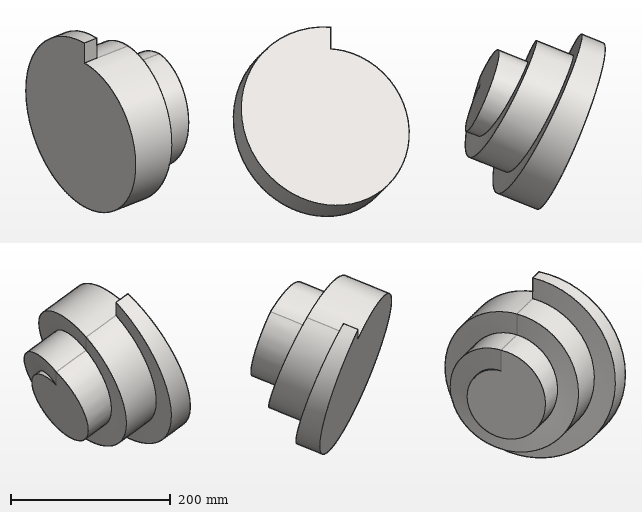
import cadquery as cq
import math

OVERALL_HEIGHT = 235.5
RAMP_PITCH = 50.0
RADIUS_LOSS = 28.7
START_THICKNESS = 20.0
RAMP_TURNS = 2
POINTS_PER_TURN = 48

FULL_TURN = 2 * math.pi
SPIRAL_BULGE = (RADIUS_LOSS / FULL_TURN) ** 2 / OVERALL_HEIGHT
START_RADIUS = (OVERALL_HEIGHT - SPIRAL_BULGE + RADIUS_LOSS / 2) / 2
TOTAL_DEPTH = START_THICKNESS + RAMP_TURNS * RAMP_PITCH


def spiral_radius(turn):
    return START_RADIUS - RADIUS_LOSS * turn


def ramp_height(turn):
    return START_THICKNESS + RAMP_PITCH * turn


def base_height(turn):
    return 0.0


def top_height(turn):
    return TOTAL_DEPTH


def spiral_point(turn, height):
    """Point on the spiral; turns start at +Z and go toward -X."""
    angle = FULL_TURN * turn
    radius = spiral_radius(turn)
    return cq.Vector(-radius * math.sin(angle), height, radius * math.cos(angle))


def spiral_edge(start_turn, height_at, height_lag=0):
    """One turn of the spiral, with its height taken height_lag turns earlier."""
    turns = [start_turn + i / POINTS_PER_TURN for i in range(POINTS_PER_TURN + 1)]
    return cq.Edge.makeSpline([spiral_point(t, height_at(t - height_lag)) for t in turns])


def flat_face(turn_edge, start_turn, height):
    """Flat end face bounded by one turn of the spiral and its radial step."""
    step = cq.Edge.makeLine(spiral_point(start_turn + 1, height), spiral_point(start_turn, height))
    return cq.Face.makeFromWires(cq.Wire.assembleEdges([turn_edge, step]))


def step_face():
    """Radial face where the outermost turn begins."""
    corners = [
        spiral_point(0, 0),
        spiral_point(0, START_THICKNESS),
        spiral_point(1, START_THICKNESS),
        spiral_point(1, 0),
    ]
    return cq.Face.makeFromWires(cq.Wire.makePolygon(corners, close=True))


lower_edge = spiral_edge(0, base_height)
faces = [flat_face(lower_edge, 0, 0), step_face()]
for turn in range(RAMP_TURNS):
    wall_top = spiral_edge(turn, ramp_height)
    ramp_inside = spiral_edge(turn + 1, ramp_height, height_lag=1)
    faces.append(cq.Face.makeRuledSurface(lower_edge, wall_top))
    faces.append(cq.Face.makeRuledSurface(wall_top, ramp_inside))
    lower_edge = ramp_inside

top_edge = spiral_edge(RAMP_TURNS, top_height)
faces.append(cq.Face.makeRuledSurface(lower_edge, top_edge))
faces.append(flat_face(top_edge, RAMP_TURNS, TOTAL_DEPTH))

body = cq.Solid.makeSolid(cq.Shell.makeShell(faces)).fix()
result = cq.Workplane("XY").newObject([body])